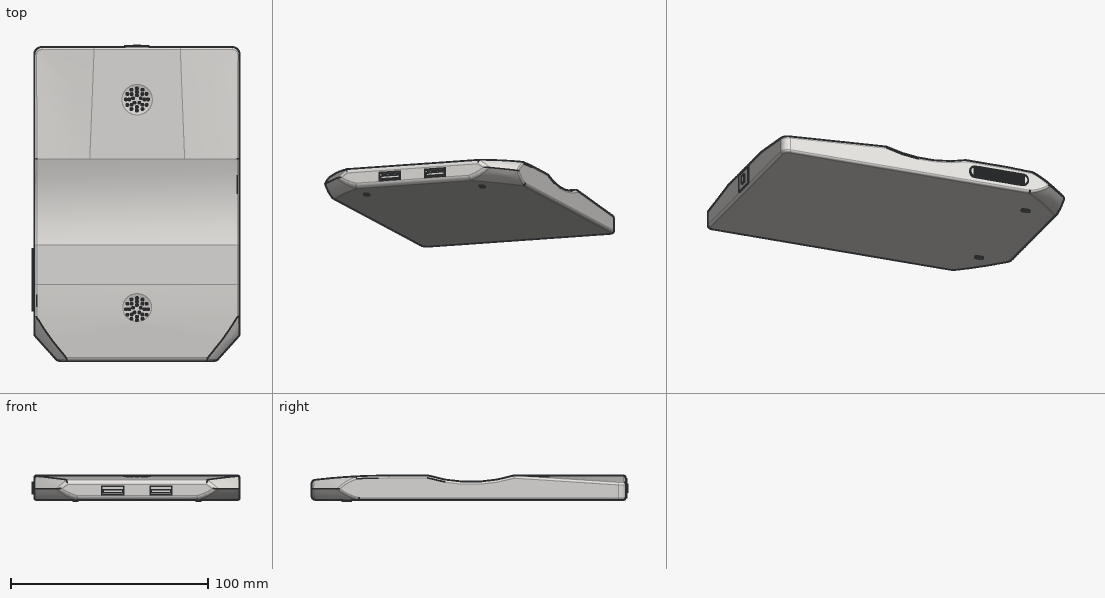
import cadquery as cq
import math

HALF_WIDTH = 52.1
FRONT_Y = -80.2
BACK_Y = 79.2
HEIGHT = 12.5

REAR_CREST_Y = 22.5
FRONT_CREST_Y = -21.0
VALLEY_DEPTH = 3.2
NOSE_START_Y = -41.0
NOSE_DROP = 2.4

STRIP_HALF_BACK = 21.8
STRIP_HALF_CREST = 24.0
PANEL_DROP_BACK = 3.8
PANEL_DROP_CREST = 0.0

RIDGE_Z = 5.8
RIDGE_SIDE_Y = -66.9
RIDGE_FRONT_X = 40.1
FACE_SIDE_Y = -54.5
FACE_FRONT_X = 28.0
RIDGE_BULGE = 0.2
FACE_BULGE = 1.3
CURVE_SHARE = 0.35

BACK_CORNER_RADIUS = 3.8
EDGE_RADIUS = 1.3
FRONT_EDGE_RADIUS = 2.4

REAR_GRILLE_Y = 52.6
REAR_GRILLE_RADIUS = 7.7
FRONT_GRILLE_Y = -53.7
FRONT_GRILLE_RADIUS = 7.2
DISH_DEPTH = 1.0
HOLE_RADIUS = 0.56
HOLE_DEPTH = 1.6
HOLE_START_ANGLE = 90
HOLE_RINGS = ((2.1, 5), (3.8, 8), (5.6, 12))

PORT_X = 12.2
PORT_WIDTH = 11.0
PORT_BOTTOM = 2.7
PORT_TOP = 6.9
PORT_DEPTH = 4.8
TONGUE_WIDTH = 10.0
TONGUE_BOTTOM = 3.7
TONGUE_TOP = 5.1
TONGUE_SETBACK = 0.5

GRIP_Y = -38.8
GRIP_Z = 6.1
GRIP_LENGTH = 31.6
GRIP_HEIGHT = 5.8
GRIP_PROUD = 1.0
GROOVE_PITCH = 1.1
GROOVE_WIDTH = 0.5
GROOVE_DEPTH = 0.5
GROOVE_COUNT = 25

PLATE_WIDTH = 12.2
PLATE_BOTTOM = 1.3
PLATE_TOP = 10.9
PLATE_PROUD = 0.5
NUB_WIDTH = 3.2
NUB_BOTTOM = 3.8
NUB_TOP = 8.0
NUB_PROUD = 1.0

FOOT_X = 31.1
FOOT_Y = -62.2
FOOT_WIDTH = 2.2
FOOT_LENGTH = 4.5
FOOT_HEIGHT = 0.5

OVERLAP = 1.6


def block(x0, x1, y0, y1, z0, z1):
    return cq.Workplane("XY").box(x1 - x0, y1 - y0, z1 - z0, centered=False).translate((x0, y0, z0))


def slab():
    """The side profile, with its valley and falling nose, carried across the width."""
    valley_y = (REAR_CREST_Y + FRONT_CREST_Y) / 2
    return (
        cq.Workplane("YZ", origin=(-HALF_WIDTH, 0, 0))
        .moveTo(BACK_Y, 0)
        .lineTo(BACK_Y, HEIGHT)
        .lineTo(REAR_CREST_Y, HEIGHT)
        .threePointArc((valley_y, HEIGHT - VALLEY_DEPTH), (FRONT_CREST_Y, HEIGHT))
        .lineTo(NOSE_START_Y, HEIGHT)
        .tangentArcPoint((FRONT_Y, HEIGHT - NOSE_DROP), relative=False)
        .lineTo(FRONT_Y, 0)
        .close()
        .extrude(2 * HALF_WIDTH)
    )


def panel_cut():
    """Twisted wedge that slopes the rear panel on the +X side."""

    def section(y, strip_half, drop):
        edge_drop_rate = drop / (HALF_WIDTH - strip_half)
        outer = HALF_WIDTH + OVERLAP
        corners = [
            (strip_half, y, HEIGHT),
            (outer, y, HEIGHT - edge_drop_rate * (outer - strip_half)),
            (outer, y, HEIGHT + OVERLAP),
            (strip_half, y, HEIGHT + OVERLAP),
        ]
        return cq.Wire.makePolygon([cq.Vector(*p) for p in corners], close=True)

    wedge = cq.Solid.makeLoft(
        [
            section(BACK_Y, STRIP_HALF_BACK, PANEL_DROP_BACK),
            section(REAR_CREST_Y, STRIP_HALF_CREST, PANEL_DROP_CREST),
        ],
        True,
    )
    return cq.Workplane(wedge)


def corner_cut(end_z):
    """Cutter for the +X front corner between the ridge and the given height."""

    def section(share_up, share_spread):
        z = RIDGE_Z + share_up * (end_z - RIDGE_Z)
        side_y = RIDGE_SIDE_Y + share_spread * (FACE_SIDE_Y - RIDGE_SIDE_Y)
        front_x = RIDGE_FRONT_X + share_spread * (FACE_FRONT_X - RIDGE_FRONT_X)
        bulge = RIDGE_BULGE + share_spread * (FACE_BULGE - RIDGE_BULGE)
        run_x = HALF_WIDTH - front_x
        run_y = side_y - FRONT_Y
        chord = math.hypot(run_x, run_y)
        middle = (
            (HALF_WIDTH + front_x) / 2 + bulge * run_y / chord,
            (side_y + FRONT_Y) / 2 - bulge * run_x / chord,
        )
        outer_x = HALF_WIDTH + OVERLAP
        outer_y = FRONT_Y - OVERLAP
        return (
            cq.Workplane("XY", origin=(0, 0, z))
            .moveTo(HALF_WIDTH, side_y)
            .threePointArc(middle, (front_x, FRONT_Y))
            .lineTo(front_x, outer_y)
            .lineTo(outer_x, outer_y)
            .lineTo(outer_x, side_y)
            .close()
            .val()
        )

    sections = [section(0, 0), section(0.5, CURVE_SHARE), section(1, 1)]
    return cq.Workplane(cq.Solid.makeLoft(sections))


def grille(body, y, rim_radius):
    """Shallow round dish with rings of small holes in its floor."""
    sphere_radius = (rim_radius**2 + DISH_DEPTH**2) / (2 * DISH_DEPTH)
    surface_z = surface_height(y)
    dish_bottom = surface_z - DISH_DEPTH
    dish = cq.Workplane("XY").sphere(sphere_radius).translate((0, y, dish_bottom + sphere_radius))
    holes = cq.Workplane("XY", origin=(0, y, dish_bottom - HOLE_DEPTH))
    for ring_radius, count in HOLE_RINGS:
        holes = holes.polarArray(ring_radius, HOLE_START_ANGLE, 360, count)
        holes = holes.circle(HOLE_RADIUS).extrude(HOLE_DEPTH + DISH_DEPTH)
    return body.cut(dish).cut(holes)


def surface_height(y):
    """Height of the top along the middle, outside the valley."""
    run = NOSE_START_Y - FRONT_Y
    nose_radius = (run**2 + NOSE_DROP**2) / (2 * NOSE_DROP)
    past_start = max(0, NOSE_START_Y - y)
    return HEIGHT - nose_radius + math.sqrt(nose_radius**2 - past_start**2)


def port(body, x):
    """Rectangular socket in the front face with a tongue on its back wall."""
    inner_y = FRONT_Y + PORT_DEPTH
    half_port = PORT_WIDTH / 2
    half_tongue = TONGUE_WIDTH / 2
    socket = block(x - half_port, x + half_port, FRONT_Y - OVERLAP, inner_y, PORT_BOTTOM, PORT_TOP)
    tongue = block(
        x - half_tongue,
        x + half_tongue,
        FRONT_Y + TONGUE_SETBACK,
        inner_y + OVERLAP,
        TONGUE_BOTTOM,
        TONGUE_TOP,
    )
    return body.cut(socket).union(tongue)


def side_grip():
    """Pill-shaped pad on the -X side with upright grooves across it."""
    outer_x = -HALF_WIDTH - GRIP_PROUD
    pad = (
        cq.Workplane("YZ", origin=(outer_x, GRIP_Y, GRIP_Z))
        .slot2D(GRIP_LENGTH, GRIP_HEIGHT)
        .extrude(GRIP_PROUD + OVERLAP)
    )
    grooves = (
        cq.Workplane("YZ", origin=(outer_x, GRIP_Y, GRIP_Z))
        .rarray(GROOVE_PITCH, 1.6, GROOVE_COUNT, 1)
        .rect(GROOVE_WIDTH, GRIP_HEIGHT)
        .extrude(GROOVE_DEPTH)
    )
    return pad.cut(grooves)


def back_button():
    """Thin plate on the back face with a nub in its middle."""
    inner_y = BACK_Y - OVERLAP
    plate = block(
        -PLATE_WIDTH / 2, PLATE_WIDTH / 2, inner_y, BACK_Y + PLATE_PROUD, PLATE_BOTTOM, PLATE_TOP
    )
    nub = block(-NUB_WIDTH / 2, NUB_WIDTH / 2, inner_y, BACK_Y + NUB_PROUD, NUB_BOTTOM, NUB_TOP)
    return plate.union(nub)


def foot(x):
    return (
        cq.Workplane("XY", origin=(x, FOOT_Y, -FOOT_HEIGHT))
        .slot2D(FOOT_LENGTH, FOOT_WIDTH, 90)
        .extrude(FOOT_HEIGHT + OVERLAP)
    )


def cut_both_sides(body, cutter):
    return body.cut(cutter).cut(cutter.mirror("YZ"))


body = slab()
body = body.edges("|Z and >Y").fillet(BACK_CORNER_RADIUS)
body = cut_both_sides(body, panel_cut())
body = cut_both_sides(body, corner_cut(HEIGHT))
body = cut_both_sides(body, corner_cut(0))

body = body.faces("<Y").edges().fillet(FRONT_EDGE_RADIUS)
body = body.faces("<X or >X or >Y or <Z").edges("not |Z").fillet(EDGE_RADIUS)

body = grille(body, REAR_GRILLE_Y, REAR_GRILLE_RADIUS)
body = grille(body, FRONT_GRILLE_Y, FRONT_GRILLE_RADIUS)
for side in (-1, 1):
    body = port(body, side * PORT_X)
    body = body.union(foot(side * FOOT_X))
body = body.union(side_grip())
body = body.union(back_button())

result = body